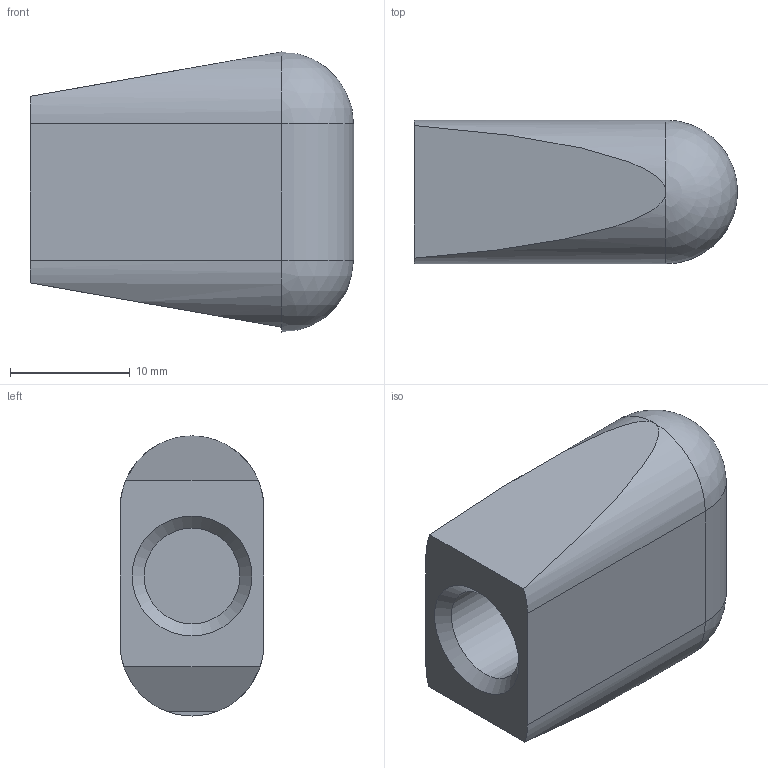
import cadquery as cq
import math

width = 12.0
height = 23.4
body_length = 21.0
taper_angle = 10.0
lower_step = 0.4
hole_diameter = 8.0
hole_depth = 16.0
hole_chamfer = 1.0

end_radius = width / 2
center_offset = height / 2 - end_radius
taper_rise = body_length * math.tan(math.radians(taper_angle))
upper_rear = height / 2
lower_rear = -height / 2 + lower_step
upper_front = upper_rear - taper_rise
lower_front = lower_rear + taper_rise


def make_body():
    """Obround bar along X, cut by sloping flats that narrow it toward the front face."""
    bar = cq.Workplane("YZ").slot2D(height, width, angle=90).extrude(body_length)
    wedge = (
        cq.Workplane("XZ")
        .moveTo(0, lower_front)
        .lineTo(body_length, lower_rear)
        .lineTo(body_length, upper_rear)
        .lineTo(0, upper_front)
        .close()
        .extrude(end_radius, both=True)
    )
    return bar.intersect(wedge)


def make_rounded_end():
    """Rear half of an upright capsule, closing the obround section."""
    capsule = (
        cq.Workplane("XZ")
        .moveTo(0, -height / 2)
        .radiusArc((end_radius, -center_offset), -end_radius)
        .lineTo(end_radius, center_offset)
        .radiusArc((0, height / 2), -end_radius)
        .close()
        .revolve(axisStart=(0, 0, 0), axisEnd=(0, 1, 0))
    )
    rear_half = cq.Workplane("YZ").rect(width, height).extrude(end_radius)
    return capsule.intersect(rear_half).translate((body_length, 0, 0))


def make_hole():
    """Blind hole from the front face with a chamfered mouth."""
    hole_radius = hole_diameter / 2
    return (
        cq.Workplane("XY")
        .moveTo(0, 0)
        .lineTo(0, hole_radius + hole_chamfer)
        .lineTo(hole_chamfer, hole_radius)
        .lineTo(hole_depth, hole_radius)
        .lineTo(hole_depth, 0)
        .close()
        .revolve(axisStart=(0, 0, 0), axisEnd=(1, 0, 0))
    )


result = make_body().union(make_rounded_end()).cut(make_hole())